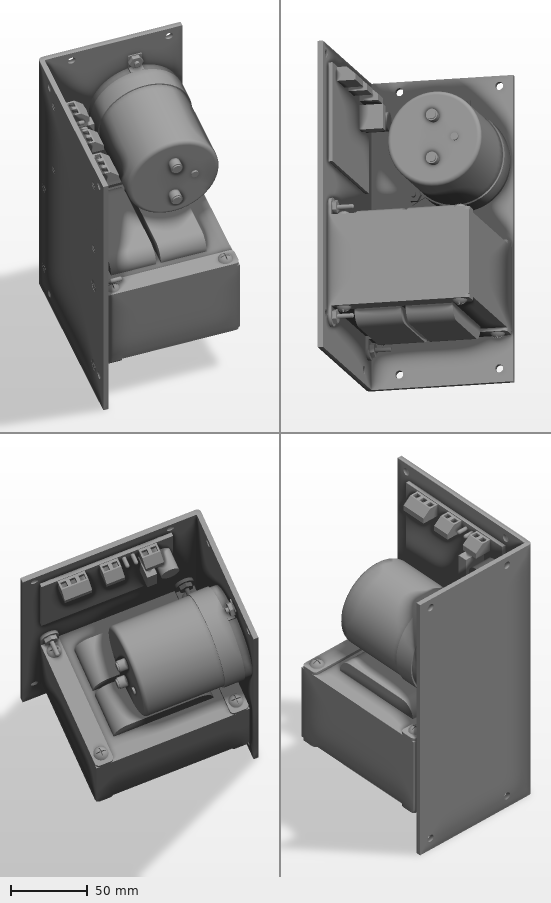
import cadquery as cq
import math


PANEL_WIDTH = 126.7
SIDE_DEPTH = 99.0
HEIGHT = 205.7
SHEET = 3.5
BEND_OUTER = 2.9
BEND_INNER = 0.6
HOLE_DIA = 5.3
HOLE_TOP_Z = HEIGHT - 6.8
HOLE_BOTTOM_Z = 9.3
PANEL_HOLE_X = (22.0, 118.3)
SIDE_HOLE_Y = (22.2, 89.7)

CORE_X = (6.2, 114.8)
CORE_Z = (32.7, 89.5)
STRAP_WIDTH = 13.0
STRAP_THICKNESS = 2.3
STRAP_CORNER = 2.9
FOOT_REACH = 8.2
BOLT_Y = (12.8, 91.1)
BOLT_HEAD_RADIUS = 5.0
BOLT_HEAD_HEIGHT = 3.0
NUT_FLATS = 8.5
NUT_HEIGHT = 2.9
FOOT_STUD_RADIUS = 1.55
FOOT_STUD_TIP_Y = 19.3
FOOT_STUD_CHAMFER = 0.6
COIL_X = (24.9, 95.7)
COIL_Y = (16.5, 82.7)
COIL_GAP_Y = (47.7, 51.0)
COIL_PROUD = 10.5
COIL_CORNER = COIL_PROUD

BOARD_X = (21.5, 114.8)
BOARD_Z = (127.4, 193.8)
BOARD_Y = (4.1, 6.8)
BOARD_SCREW_X = (30.5, 107.8)
BOARD_SCREW_Z = (131.5, 189.7)
SPACER_RADIUS = 3.0
TERMINAL_TOP_Y = 19.3
TERMINAL_LIP_Y = 13.4
TERMINAL_DEPTH = 9.3
TERMINAL_INSET = 0.6
TERMINAL_SLOPE = 5.1
TERMINALS = ((33.3, 46.0, 2), (61.0, 73.9, 2), (84.1, 103.5, 3))
WIRE_PORT = 4.0
WIRE_PORT_Y = 10.5
WIRE_PORT_DEPTH = 3.0
LED_X = (50.5, 56.5)
LED_RADIUS = 1.5
LED_TIP_Y = 14.5
PART_TOP_Y = 22.6
CAN_X = 30.2
CAN_Z = 172.8
CAN_RADIUS = 6.4
RELAY_X = (39.5, 46.5)
RELAY_Z = (164.5, 181.0)

CAP_Y = 65.8
CAP_Z = 147.5
CAP_RADIUS = 31.7
CAP_END_X = 79.6
CAP_EDGE = 2.7
POST_RADIUS = 4.0
POST_SPACING = 28.8
POST_END_X = 85.4
POST_SCREW_RADIUS = 3.0
POST_SCREW_HEIGHT = 1.0
VENT_RADIUS = 2.5
VENT_HEIGHT = 1.5
VENT_OFFSET_Y = 14.2
CLAMP_RADIUS = 32.7
CLAMP_X = (9.3, 23.5)
LUG_ANGLES = (0, 120)
LUG_WIDTH = 9.5
LUG_STUD_RADIUS = 1.75
LUG_STUD_REACH = 38.0
LUG_FOOT = 0.8

BOARD_SCREW_RADIUS = 2.9
FOOT_SCREW_RADIUS = 4.1
SCREW_RECESS = 0.2
CROSS_WIDTH = 0.8
CROSS_DEPTH = 1.0
CROSS_SPAN = 0.65

strap_x = (CORE_X[0] + STRAP_WIDTH / 2, CORE_X[1] - STRAP_WIDTH / 2)
foot_z = (CORE_Z[0] - FOOT_REACH, CORE_Z[1] + FOOT_REACH)


def block(x, y, z):
    """Box between (low, high) limits on each axis."""
    size = (x[1] - x[0], y[1] - y[0], z[1] - z[0])
    return cq.Workplane("XY").box(*size, centered=False).translate((x[0], y[0], z[0]))


def rod(start, direction, radius, length):
    """Cylinder from a start point along a direction."""
    return cq.Workplane(cq.Solid.makeCylinder(radius, length, cq.Vector(*start), cq.Vector(*direction)))


def hex_nut(start, direction, corner_direction):
    """Hexagonal nut from a start point along a direction, one corner facing corner_direction."""
    plane = cq.Plane(origin=start, xDir=corner_direction, normal=direction)
    across_corners = NUT_FLATS / math.cos(math.pi / 6)
    return cq.Workplane(plane).polygon(6, across_corners).extrude(NUT_HEIGHT)


def angle_bracket():
    body = block((0, PANEL_WIDTH), (0, SIDE_DEPTH), (0, HEIGHT))
    body = body.edges("|Z and <X and <Y").fillet(BEND_OUTER)
    space = block((SHEET, PANEL_WIDTH), (SHEET, SIDE_DEPTH), (0, HEIGHT))
    body = body.cut(space.edges("|Z and <X and <Y").fillet(BEND_INNER))
    low_right_z = foot_z[0]
    panel_holes = [(x, HOLE_TOP_Z) for x in PANEL_HOLE_X]
    panel_holes += [(PANEL_HOLE_X[0], HOLE_BOTTOM_Z), (PANEL_HOLE_X[1], low_right_z)]
    for x, z in panel_holes:
        body = body.cut(rod((x, 0, z), (0, 1, 0), HOLE_DIA / 2, SHEET))
    for y in SIDE_HOLE_Y:
        for z in (HOLE_BOTTOM_Z, HOLE_TOP_Z):
            body = body.cut(rod((0, y, z), (1, 0, 0), HOLE_DIA / 2, SHEET))
    return body


def panel_screw_recess(x, z, radius):
    """Shallow head recess with a cross drive, cut into the outer panel face."""
    recess = rod((x, 0, z), (0, 1, 0), radius, SCREW_RECESS)
    half_span = radius * CROSS_SPAN
    half_width = CROSS_WIDTH / 2
    for dx, dz in ((half_span, half_width), (half_width, half_span)):
        recess = recess.union(block((x - dx, x + dx), (0, CROSS_DEPTH), (z - dz, z + dz)))
    return recess


def pan_head(x, y, z, up):
    """Domed bolt head with a cross drive, pointing up (+1) or down (-1)."""
    sphere_radius = (BOLT_HEAD_RADIUS**2 + BOLT_HEAD_HEIGHT**2) / (2 * BOLT_HEAD_HEIGHT)
    dome = cq.Workplane("XY").sphere(sphere_radius)
    dome = dome.translate((0, 0, BOLT_HEAD_HEIGHT - sphere_radius))
    head = dome.intersect(rod((0, 0, 0), (0, 0, 1), BOLT_HEAD_RADIUS, BOLT_HEAD_HEIGHT))
    half_span = BOLT_HEAD_RADIUS * CROSS_SPAN
    half_width = CROSS_WIDTH / 2
    drive_z = (BOLT_HEAD_HEIGHT - 2 * CROSS_DEPTH, BOLT_HEAD_HEIGHT)
    for dx, dy in ((half_span, half_width), (half_width, half_span)):
        head = head.cut(block((-dx, dx), (-dy, dy), drive_z))
    if up < 0:
        head = head.mirror("XY")
    return head.translate((x, y, z))


def mounting_strap(x, face_z, up):
    """L-shaped strap on a core face, with a round-ended foot on the panel."""
    half = STRAP_WIDTH / 2
    outer_z = face_z + up * STRAP_THICKNESS
    screw_z = face_z + up * FOOT_REACH
    span_x = (x - half, x + half)
    strap = block(span_x, (SHEET, SIDE_DEPTH), sorted((face_z, outer_z)))
    strap = strap.edges("|Z and >Y").fillet(STRAP_CORNER)
    foot_y = (SHEET, SHEET + STRAP_THICKNESS)
    strap = strap.union(block(span_x, foot_y, sorted((face_z, screw_z))))
    strap = strap.union(rod((x, SHEET, screw_z), (0, 1, 0), half, STRAP_THICKNESS))
    strap = strap.union(hex_nut((x, foot_y[1], screw_z), (0, 1, 0), (0, 0, 1)))
    stud_length = FOOT_STUD_TIP_Y - SHEET
    stud = rod((x, SHEET, screw_z), (0, 1, 0), FOOT_STUD_RADIUS, stud_length)
    strap = strap.union(stud.faces(">Y").chamfer(FOOT_STUD_CHAMFER))
    for y in BOLT_Y:
        strap = strap.union(pan_head(x, y, outer_z, up))
    return strap


def transformer():
    body = block(CORE_X, (SHEET, SIDE_DEPTH), CORE_Z)
    coil_z = (CORE_Z[0] - COIL_PROUD, CORE_Z[1] + COIL_PROUD)
    coil = block(COIL_X, COIL_Y, coil_z).edges("|Y").fillet(COIL_CORNER)
    coil = coil.cut(block(COIL_X, COIL_GAP_Y, coil_z))
    body = body.union(coil)
    for x in strap_x:
        for face_z, up in zip(CORE_Z, (-1, 1)):
            body = body.union(mounting_strap(x, face_z, up))
    return body


def terminal_block(x_start, x_end, ways):
    """Screw terminal with a sloped face and a row of wire ports facing up."""
    base = BOARD_Y[1]
    front_z = BOARD_Z[1] - TERMINAL_INSET
    back_z = front_z - TERMINAL_DEPTH
    profile = [
        (base, back_z),
        (TERMINAL_TOP_Y, back_z),
        (TERMINAL_TOP_Y, front_z - TERMINAL_SLOPE),
        (TERMINAL_LIP_Y, front_z),
        (base, front_z),
    ]
    body = cq.Workplane("YZ").polyline(profile).close().extrude(x_end - x_start)
    body = body.translate((x_start, 0, 0))
    pitch = (x_end - x_start) / ways
    half = WIRE_PORT / 2
    for i in range(ways):
        x = x_start + pitch * (i + 0.5)
        port_y = (WIRE_PORT_Y - half, WIRE_PORT_Y + half)
        body = body.cut(block((x - half, x + half), port_y, (front_z - WIRE_PORT_DEPTH, front_z)))
    return body


def circuit_board():
    base = BOARD_Y[1]
    body = block(BOARD_X, BOARD_Y, BOARD_Z)
    for x in BOARD_SCREW_X:
        for z in BOARD_SCREW_Z:
            body = body.union(rod((x, SHEET, z), (0, 1, 0), SPACER_RADIUS, base - SHEET))
    for x_start, x_end, ways in TERMINALS:
        body = body.union(terminal_block(x_start, x_end, ways))
    for x in LED_X:
        led_z = BOARD_Z[1] - TERMINAL_DEPTH / 2
        led = rod((x, base, led_z), (0, 1, 0), LED_RADIUS, LED_TIP_Y - LED_RADIUS - base)
        dome = cq.Workplane("XY").sphere(LED_RADIUS).translate((x, LED_TIP_Y - LED_RADIUS, led_z))
        body = body.union(led).union(dome)
    body = body.union(rod((CAN_X, base, CAN_Z), (0, 1, 0), CAN_RADIUS, PART_TOP_Y - base))
    return body.union(block(RELAY_X, (base, PART_TOP_Y), RELAY_Z))


def clamp_lug(angle):
    """Tab from the clamp ring to the side panel, with its stud and nut."""
    half = LUG_WIDTH / 2
    tab_z = (CAP_Z + CAP_RADIUS - LUG_FOOT, CAP_Z + CLAMP_RADIUS)
    y = (CAP_Y - half, CAP_Y + half)
    stud_z = CAP_Z + LUG_STUD_REACH
    foot_x = (SHEET, SHEET + LUG_FOOT)
    lug = block((SHEET, CLAMP_X[0]), y, tab_z)
    lug = lug.union(block(foot_x, y, (tab_z[0], stud_z + half)))
    stud_start = (SHEET, CAP_Y, stud_z)
    lug = lug.union(rod(stud_start, (1, 0, 0), LUG_STUD_RADIUS, CLAMP_X[0] - SHEET))
    lug = lug.union(hex_nut((foot_x[1], CAP_Y, stud_z), (1, 0, 0), (0, 1, 0)))
    return lug.rotate((0, CAP_Y, CAP_Z), (1, CAP_Y, CAP_Z), angle)


def capacitor():
    body = rod((SHEET, CAP_Y, CAP_Z), (1, 0, 0), CAP_RADIUS, CAP_END_X - SHEET)
    body = body.faces(">X").edges().fillet(CAP_EDGE)
    ring_start = (CLAMP_X[0], CAP_Y, CAP_Z)
    body = body.union(rod(ring_start, (1, 0, 0), CLAMP_RADIUS, CLAMP_X[1] - CLAMP_X[0]))
    for side in (-1, 1):
        z = CAP_Z + side * POST_SPACING / 2
        post_length = POST_END_X - CAP_END_X
        body = body.union(rod((CAP_END_X, CAP_Y, z), (1, 0, 0), POST_RADIUS, post_length))
        body = body.union(rod((POST_END_X, CAP_Y, z), (1, 0, 0), POST_SCREW_RADIUS, POST_SCREW_HEIGHT))
    vent_start = (CAP_END_X, CAP_Y + VENT_OFFSET_Y, CAP_Z)
    body = body.union(rod(vent_start, (1, 0, 0), VENT_RADIUS, VENT_HEIGHT))
    for angle in LUG_ANGLES:
        body = body.union(clamp_lug(angle))
    return body


panel_screws = [(x, z, BOARD_SCREW_RADIUS) for x in BOARD_SCREW_X for z in BOARD_SCREW_Z]
panel_screws += [(x, z, FOOT_SCREW_RADIUS) for x in strap_x for z in foot_z]

result = angle_bracket().union(transformer()).union(circuit_board()).union(capacitor())
for screw_x, screw_z, head_radius in panel_screws:
    result = result.cut(panel_screw_recess(screw_x, screw_z, head_radius))